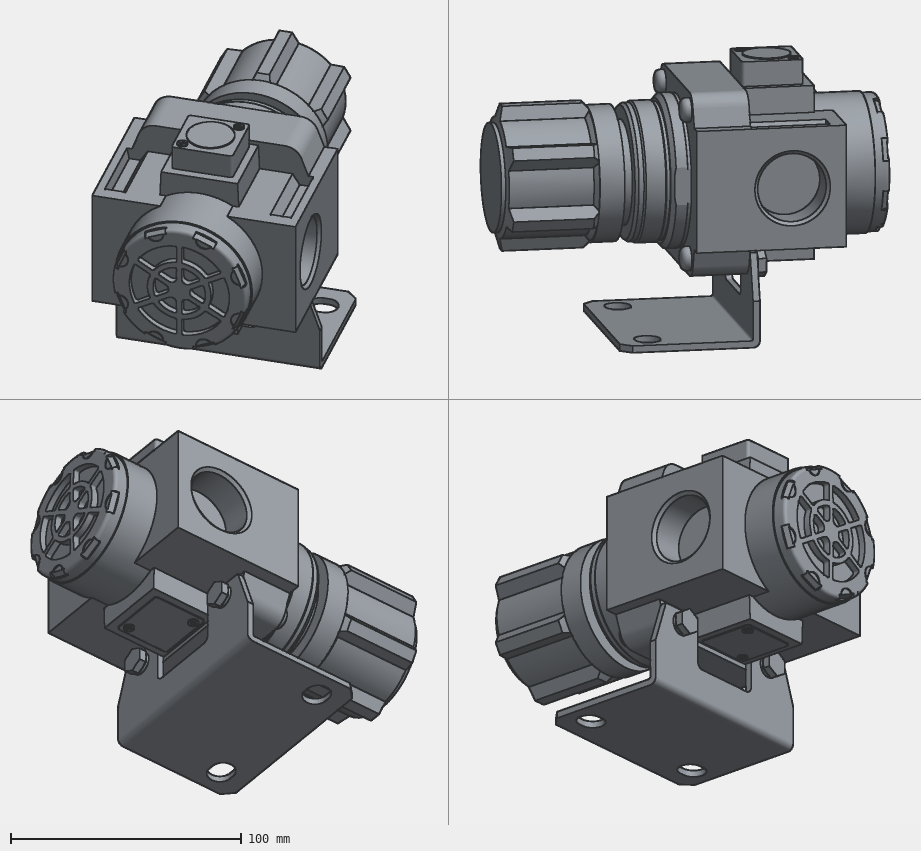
import cadquery as cq
import math

LENGTH = 171.4
WIDTH = 92.0
HEIGHT = 120.7
HALF_WIDTH = WIDTH / 2
TOP_Z = 50.4
BOTTOM_Z = TOP_Z - HEIGHT

CAP_END = 7.2
BODY_FRONT = 23.0
PAD_FRONT = 31.7
HOUSING_FRONT = 64.3
BODY_REAR = 89.1

BODY_HALF_HEIGHT = 27.0
BOWL_RADIUS = 62.0 / 2
HOUSING_HALF_HEIGHT = 40.8
HOUSING_BASE_HALF_WIDTH = 40.0
HOUSING_TOP_HALF_WIDTH = 34.8
HOUSING_CORNER_RADIUS = 8.2
PAD_BASE_HALF_WIDTH = 17.8
PAD_TIP_HALF_WIDTH = 17.3
PAD_TOP_Z = 38.9
PAD_BOTTOM_Z = -38.4

COVER_WIDTH = 27.6
COVER_FRONT = 35.8
COVER_REAR = 62.9
COVER_CENTER_Y = (COVER_FRONT + COVER_REAR) / 2
COVER_CORNER_RADIUS = 1.4
RELIEF = 0.5
COVER_TOP_Z = TOP_Z - RELIEF
COVER_DISC_DIAMETER = 21.0
COVER_SCREW_DIAMETER = 4.6
COVER_SCREW_OFFSET = 10.0
CROSS_LENGTH = 2.7
CROSS_WIDTH = 0.9

PORT_Y = 46.8
PORT_DIAMETER = 30.3
PORT_MOUTH_DIAMETER = 33.5
PORT_CHAMFER_ANGLE = 45
PORT_DEPTH = 16.3
POCKET_FRONT = 29.7
POCKET_DEPTH = 5.1
POCKET_MOUTH = (32.7, 42.2)
POCKET_FLOOR = (36.0, 41.1)

CAP_RADIUS = 30.3
CAP_FACE_RADIUS = 28.8
CAP_FACE_Y = 0.5
CAP_ROUND_END = 2.2
CAP_NOTCHES = 8
NOTCH_WIDTH = 10.1
NOTCH_DEPTH = 3.5
NOTCH_FACE_RADIUS = 27.8
NOTCH_FLOOR_RADIUS = 29.5
THUMB_DIAMETER = 7.9
THUMB_RADIUS = 29.5
THUMB_DEPTH = 0.9
GRILLE_DEPTH = 3.5
GRILLE_WINDOWS = 6
SPOKE_WIDTH = 2.4
WINDOW_CORNER_RADIUS = 0.9
OUTER_WINDOW = (14.4, 22.6)
INNER_WINDOW_RADIUS = 11.8
INNER_TIP_RADIUS = 2.4

GASKET_RADIUS = 33.8
GASKET_END = 90.7
BONNET_RADIUS = 34.0
BONNET_FLAT_X = 32.9
BONNET_FLAT_END = 96.5
BONNET_SHOULDER_RADIUS = 31.7
BONNET_SHOULDER_START = 95.8
BONNET_END = 97.9

GROOVE_RADIUS = 30.3
GROOVE_END = 99.4
CLAMP_RADIUS = BOWL_RADIUS
CLAMP_START = 100.0
CLAMP_TAPER_START = 108.7
LIP_START = 109.5
LIP_TAPER_START = 111.8
LIP_END_RADIUS = 29.3
LIP_END = 113.3
NECK_RADIUS = 46.3 / 2
NECK_END = 118.0

KNOB_FRONT = 128.9
KNOB_REAR = 168.5
KNOB_RADIUS = 26.7
KNOB_COLLAR_RADIUS = 60 / 2
KNOB_FLARE_RADIUS = 29.1
KNOB_FLARE_END = 131.0
KNOB_DISC_RADIUS = 48 / 2
KNOB_DISC_START = 169.5
KNOB_RIBS = 6
RIB_TOP_RADIUS = 32.2
RIB_TOP_WIDTH = 5.8
RIB_BASE_RADIUS = 26.2
RIB_BASE_WIDTH = 11.0
RIB_TIP_RADIUS = 32.5
RIB_FRONT_CHAMFER = 2.5
RIB_REAR_CHAMFER = 1.5

SCREW_X = 29.1
SCREW_Z = 33.0
SCREW_HEAD_DIAMETER = 10.6
SCREW_RIM_HEIGHT = 1.5
SCREW_HEAD_HEIGHT = 4.1
BOLT_Z = -36.3
BOLT_ACROSS_FLATS = 10.5
BOLT_HEAD_HEIGHT = 3.6
WASHER_HEIGHT = 1.5
WASHER_DIAMETER = 10.3

SHEET = 3.0
BRACKET_FRONT = HOUSING_FRONT - SHEET
BRACKET_REAR = 122.4
BRACKET_TOP_Z = -29.5
BRACKET_TOP_HALF_WIDTH = 39.0
BRACKET_SHOULDER_Z = -49.5
BEND_OUTER_RADIUS = 3.0
BEND_INNER_RADIUS = 1.0
BRACKET_CHAMFER = 4.8
CUTOUT_HALF_WIDTH = 17.8
CUTOUT_BOTTOM_Z = -53.1
CUTOUT_RADIUS = 3.0
MOUNT_SLOT_X = 33.8
MOUNT_SLOT_Y = 108.7
MOUNT_SLOT_LENGTH = 13.5
MOUNT_SLOT_WIDTH = 11.3


def box(x_range, y_range, z_range):
    """Block between the given (low, high) limits on each axis."""
    size = [high - low for low, high in (x_range, y_range, z_range)]
    corner = (x_range[0], y_range[0], z_range[0])
    return cq.Workplane("XY").box(*size, centered=False).translate(corner)


def facing_y(y):
    """Plane at the given Y; local x is X, local y is Z, negative extrusion runs toward +Y."""
    return cq.Workplane("XZ", origin=(0, y, 0))


def turned(points):
    """Solid of revolution about the Y axis from (radius, y) points."""
    return cq.Workplane("XY").polyline(points).close().revolve(360, (0, 0), (0, 1))


def ring_of(solid, count, start_angle=0.0):
    """Copies of a solid spaced evenly around the Y axis."""
    copies = cq.Workplane("XY")
    for i in range(count):
        copies = copies.add(solid.rotate((0, 0, 0), (0, 1, 0), start_angle + i * 360 / count))
    return copies.combine()


def make_housing():
    """Tall rear part of the body: a flared outline above and below, rounded at its corners."""
    upper = (
        facing_y(HOUSING_FRONT)
        .polyline([
            (-HOUSING_BASE_HALF_WIDTH, BODY_HALF_HEIGHT),
            (-HOUSING_TOP_HALF_WIDTH, HOUSING_HALF_HEIGHT),
            (HOUSING_TOP_HALF_WIDTH, HOUSING_HALF_HEIGHT),
            (HOUSING_BASE_HALF_WIDTH, BODY_HALF_HEIGHT),
        ])
        .close()
        .extrude(HOUSING_FRONT - BODY_REAR)
        .edges("|Y and >Z")
        .fillet(HOUSING_CORNER_RADIUS)
    )
    return upper.union(upper.mirror("XY"))


def make_body():
    """Main block with a slightly drafted pad through it, above and below."""
    block = box(
        (-HALF_WIDTH, HALF_WIDTH),
        (BODY_FRONT, BODY_REAR),
        (-BODY_HALF_HEIGHT, BODY_HALF_HEIGHT),
    )
    pad = (
        facing_y(PAD_FRONT)
        .polyline([
            (-PAD_TIP_HALF_WIDTH, PAD_BOTTOM_Z),
            (-PAD_BASE_HALF_WIDTH, -BODY_HALF_HEIGHT),
            (-PAD_BASE_HALF_WIDTH, BODY_HALF_HEIGHT),
            (-PAD_TIP_HALF_WIDTH, PAD_TOP_Z),
            (PAD_TIP_HALF_WIDTH, PAD_TOP_Z),
            (PAD_BASE_HALF_WIDTH, BODY_HALF_HEIGHT),
            (PAD_BASE_HALF_WIDTH, -BODY_HALF_HEIGHT),
            (PAD_TIP_HALF_WIDTH, PAD_BOTTOM_Z),
        ])
        .close()
        .extrude(PAD_FRONT - HOUSING_FRONT)
    )
    return block.union(pad)


def make_pocket():
    """Tapered pocket in the top of the body on the +X side, ending at the housing."""
    floor_z = BODY_HALF_HEIGHT - POCKET_DEPTH
    return (
        facing_y(POCKET_FRONT)
        .polyline([
            (POCKET_MOUTH[0], BODY_HALF_HEIGHT),
            (POCKET_FLOOR[0], floor_z),
            (POCKET_FLOOR[1], floor_z),
            (POCKET_MOUTH[1], BODY_HALF_HEIGHT),
        ])
        .close()
        .extrude(POCKET_FRONT - HOUSING_FRONT)
    )


def make_port():
    """Blind port bored from the -X face, with a chamfered mouth."""
    return (
        cq.Workplane("YZ", origin=(-HALF_WIDTH, PORT_Y, 0))
        .circle(PORT_DIAMETER / 2)
        .extrude(PORT_DEPTH)
        .union(
            cq.Workplane("YZ", origin=(-HALF_WIDTH, PORT_Y, 0))
            .circle(PORT_MOUTH_DIAMETER / 2)
            .extrude((PORT_MOUTH_DIAMETER - PORT_DIAMETER) / 2, taper=PORT_CHAMFER_ANGLE)
        )
    )


def make_plate(height):
    """Nearly square plate standing on Z = 0, with two cross-recessed screw heads on a diagonal."""
    plate = (
        cq.Workplane("XY", origin=(0, COVER_CENTER_Y, 0))
        .rect(COVER_WIDTH, COVER_REAR - COVER_FRONT)
        .extrude(height)
        .edges("|Z")
        .fillet(COVER_CORNER_RADIUS)
    )
    for offset in (-COVER_SCREW_OFFSET, COVER_SCREW_OFFSET):
        spot = cq.Workplane("XY", origin=(offset, COVER_CENTER_Y + offset, height))
        head = spot.circle(COVER_SCREW_DIAMETER / 2).extrude(RELIEF)
        head = head.cut(spot.rect(CROSS_LENGTH, CROSS_WIDTH).extrude(RELIEF))
        head = head.cut(spot.rect(CROSS_WIDTH, CROSS_LENGTH).extrude(RELIEF))
        plate = plate.union(head)
    return plate


def make_cover():
    """Gauge cover with a raised disc in the middle of its top."""
    disc = (
        cq.Workplane("XY", origin=(0, COVER_CENTER_Y, COVER_TOP_Z))
        .circle(COVER_DISC_DIAMETER / 2)
        .extrude(RELIEF)
    )
    return make_plate(COVER_TOP_Z - PAD_TOP_Z).translate((0, 0, PAD_TOP_Z)).union(disc)


def make_blanking_plate():
    """Thin plate closing the underside of the pad."""
    return make_plate(RELIEF).mirror("XY").translate((0, 0, PAD_BOTTOM_Z))


def make_bowl():
    """Bowl and vent cap, with a rounded rim and a slightly domed face."""
    rim_drop = (CAP_RADIUS - CAP_FACE_RADIUS) * (1 - math.sqrt(0.5))
    rim_rise = (CAP_ROUND_END - CAP_FACE_Y) * (1 - math.sqrt(0.5))
    dome_radius = (CAP_FACE_RADIUS**2 + CAP_FACE_Y**2) / (2 * CAP_FACE_Y)
    mid_radius = CAP_FACE_RADIUS / 2
    mid_y = dome_radius - math.sqrt(dome_radius**2 - mid_radius**2)
    return (
        cq.Workplane("XY")
        .moveTo(0, PAD_FRONT)
        .lineTo(BOWL_RADIUS, PAD_FRONT)
        .lineTo(BOWL_RADIUS, CAP_END)
        .lineTo(CAP_RADIUS, CAP_END)
        .lineTo(CAP_RADIUS, CAP_ROUND_END)
        .threePointArc((CAP_RADIUS - rim_drop, CAP_FACE_Y + rim_rise), (CAP_FACE_RADIUS, CAP_FACE_Y))
        .threePointArc((mid_radius, mid_y), (0, 0))
        .close()
        .revolve(360, (0, 0), (0, 1))
    )


def make_notch():
    """Grip notch with a sloping floor at the +X side of the cap rim, and a shallow thumb recess."""
    slot = (
        cq.Workplane("XY")
        .polyline([
            (NOTCH_FACE_RADIUS, 0),
            (NOTCH_FLOOR_RADIUS, NOTCH_DEPTH),
            (BOWL_RADIUS, NOTCH_DEPTH),
            (BOWL_RADIUS, 0),
        ])
        .close()
        .extrude(NOTCH_WIDTH / 2, both=True)
    )
    thumb = facing_y(0).center(THUMB_RADIUS, 0).circle(THUMB_DIAMETER / 2).extrude(-THUMB_DEPTH)
    return slot.union(thumb)


def make_wedge():
    """Sector centred on +X whose sides lie half a spoke width inside the sector boundaries."""
    half_angle = math.pi / GRILLE_WINDOWS
    apex = SPOKE_WIDTH / 2 / math.sin(half_angle)
    reach = CAP_RADIUS
    spread = (reach - apex) * math.tan(half_angle)
    return (
        facing_y(0)
        .polyline([(apex, 0), (reach, spread), (reach, -spread)])
        .close()
        .extrude(-GRILLE_DEPTH)
    )


def make_grille():
    """Two rings of vent windows separated by straight spokes."""
    inner_radius, outer_radius = OUTER_WINDOW
    outer = (
        facing_y(0)
        .circle(outer_radius)
        .circle(inner_radius)
        .extrude(-GRILLE_DEPTH)
        .intersect(make_wedge())
        .edges("|Y")
        .fillet(WINDOW_CORNER_RADIUS)
    )
    inner = (
        facing_y(0)
        .circle(INNER_WINDOW_RADIUS)
        .extrude(-GRILLE_DEPTH)
        .intersect(make_wedge())
        .edges("|Y and <X")
        .fillet(INNER_TIP_RADIUS)
        .edges("|Y and (>Z or <Z)")
        .fillet(WINDOW_CORNER_RADIUS)
    )
    return ring_of(outer, GRILLE_WINDOWS).union(ring_of(inner, GRILLE_WINDOWS))


def make_bonnet():
    """Turned bonnet with two side flats, clamp ring, neck and knob collar."""
    bonnet = turned([
        (0, BODY_REAR),
        (GASKET_RADIUS, BODY_REAR),
        (GASKET_RADIUS, GASKET_END),
        (BONNET_RADIUS, GASKET_END),
        (BONNET_RADIUS, BONNET_SHOULDER_START),
        (BONNET_SHOULDER_RADIUS, BONNET_END),
        (GROOVE_RADIUS, BONNET_END),
        (GROOVE_RADIUS, GROOVE_END),
        (CLAMP_RADIUS, CLAMP_START),
        (CLAMP_RADIUS, CLAMP_TAPER_START),
        (GROOVE_RADIUS, LIP_START),
        (GROOVE_RADIUS, LIP_TAPER_START),
        (LIP_END_RADIUS, LIP_END),
        (NECK_RADIUS, LIP_END),
        (NECK_RADIUS, NECK_END),
        (KNOB_COLLAR_RADIUS, NECK_END),
        (KNOB_COLLAR_RADIUS, KNOB_FRONT),
        (0, KNOB_FRONT),
    ])
    flat = box(
        (BONNET_FLAT_X, BONNET_RADIUS),
        (BODY_REAR, BONNET_FLAT_END),
        (-BONNET_RADIUS, BONNET_RADIUS),
    )
    return bonnet.cut(flat).cut(flat.mirror("YZ"))


def make_knob():
    """Knob core with trapezoidal grip ribs, chamfered at both ends."""
    core = turned([
        (0, KNOB_FRONT),
        (KNOB_FLARE_RADIUS, KNOB_FRONT),
        (KNOB_RADIUS, KNOB_FLARE_END),
        (KNOB_RADIUS, KNOB_REAR),
        (KNOB_DISC_RADIUS, KNOB_DISC_START),
        (KNOB_DISC_RADIUS, LENGTH),
        (0, LENGTH),
    ])
    rib = (
        facing_y(KNOB_FRONT)
        .polyline([
            (-RIB_BASE_WIDTH / 2, 0),
            (-RIB_BASE_WIDTH / 2, RIB_BASE_RADIUS),
            (-RIB_TOP_WIDTH / 2, RIB_TOP_RADIUS),
            (RIB_TOP_WIDTH / 2, RIB_TOP_RADIUS),
            (RIB_BASE_WIDTH / 2, RIB_BASE_RADIUS),
            (RIB_BASE_WIDTH / 2, 0),
        ])
        .close()
        .extrude(KNOB_FRONT - KNOB_REAR)
    )
    envelope = turned([
        (0, KNOB_FRONT),
        (KNOB_COLLAR_RADIUS, KNOB_FRONT),
        (RIB_TIP_RADIUS, KNOB_FRONT + RIB_FRONT_CHAMFER),
        (RIB_TIP_RADIUS, KNOB_REAR - RIB_REAR_CHAMFER),
        (KNOB_RADIUS, KNOB_REAR),
        (0, KNOB_REAR),
    ])
    return core.union(ring_of(rib, KNOB_RIBS).intersect(envelope))


def make_screw():
    """Button-head screw on the rear face of the housing."""
    radius = SCREW_HEAD_DIAMETER / 2
    return (
        facing_y(BODY_REAR)
        .circle(radius)
        .extrude(-SCREW_HEAD_HEIGHT)
        .faces(">Y")
        .edges()
        .fillet(SCREW_HEAD_HEIGHT - SCREW_RIM_HEIGHT)
    )


def make_bolt():
    """Hexagon bolt on a round washer, holding the bracket to the housing."""
    washer_front = BRACKET_FRONT - WASHER_HEIGHT
    washer = facing_y(BRACKET_FRONT).circle(WASHER_DIAMETER / 2).extrude(WASHER_HEIGHT)
    head = (
        facing_y(washer_front)
        .transformed(rotate=(0, 0, 90))
        .polygon(6, BOLT_ACROSS_FLATS / math.cos(math.pi / 6))
        .extrude(BOLT_HEAD_HEIGHT)
    )
    return washer.union(head)


def make_bracket():
    """Bent sheet foot with a tapered upright, a central cutout and two mounting slots."""
    sheet = (
        cq.Workplane("YZ", origin=(-HALF_WIDTH, 0, 0))
        .polyline([
            (BRACKET_FRONT, BRACKET_TOP_Z),
            (BRACKET_FRONT, BOTTOM_Z),
            (BRACKET_REAR, BOTTOM_Z),
            (BRACKET_REAR, BOTTOM_Z + SHEET),
            (HOUSING_FRONT, BOTTOM_Z + SHEET),
            (HOUSING_FRONT, BRACKET_TOP_Z),
        ])
        .close()
        .extrude(WIDTH)
    )
    sheet = sheet.edges("|X and <Y and <Z").fillet(BEND_OUTER_RADIUS)
    inner_bend = cq.selectors.NearestToPointSelector((0, HOUSING_FRONT, BOTTOM_Z + SHEET))
    sheet = sheet.edges(inner_bend).fillet(BEND_INNER_RADIUS)
    sheet = sheet.edges("|Z and >Y").chamfer(BRACKET_CHAMFER)

    outline = (
        facing_y(BRACKET_FRONT)
        .polyline([
            (-HALF_WIDTH, BOTTOM_Z),
            (-HALF_WIDTH, BRACKET_SHOULDER_Z),
            (-BRACKET_TOP_HALF_WIDTH, BRACKET_TOP_Z),
            (BRACKET_TOP_HALF_WIDTH, BRACKET_TOP_Z),
            (HALF_WIDTH, BRACKET_SHOULDER_Z),
            (HALF_WIDTH, BOTTOM_Z),
        ])
        .close()
        .extrude(BRACKET_FRONT - BRACKET_REAR)
    )
    cutout = (
        box(
            (-CUTOUT_HALF_WIDTH, CUTOUT_HALF_WIDTH),
            (BRACKET_FRONT, HOUSING_FRONT),
            (CUTOUT_BOTTOM_Z, BRACKET_TOP_Z),
        )
        .edges("|Y and <Z")
        .fillet(CUTOUT_RADIUS)
    )
    mount_slots = (
        cq.Workplane("XY", origin=(0, MOUNT_SLOT_Y, BOTTOM_Z))
        .pushPoints([(-MOUNT_SLOT_X, 0), (MOUNT_SLOT_X, 0)])
        .slot2D(MOUNT_SLOT_LENGTH, MOUNT_SLOT_WIDTH)
        .extrude(SHEET)
    )
    return sheet.intersect(outline).cut(cutout).cut(mount_slots)


pocket = make_pocket()
port = make_port()
notches = ring_of(make_notch(), CAP_NOTCHES, 180 / CAP_NOTCHES)

result = make_body().cut(pocket).cut(pocket.mirror("YZ")).union(make_housing())
result = result.union(make_cover()).union(make_blanking_plate())
result = result.union(make_bowl().cut(notches).cut(make_grille()))
result = result.cut(port).cut(port.mirror("YZ"))
result = result.union(make_bonnet()).union(make_knob())
for side_x in (-SCREW_X, SCREW_X):
    for side_z in (-SCREW_Z, SCREW_Z):
        result = result.union(make_screw().translate((side_x, 0, side_z)))
result = result.union(make_bracket())
for side_x in (-SCREW_X, SCREW_X):
    result = result.union(make_bolt().translate((side_x, 0, BOLT_Z)))